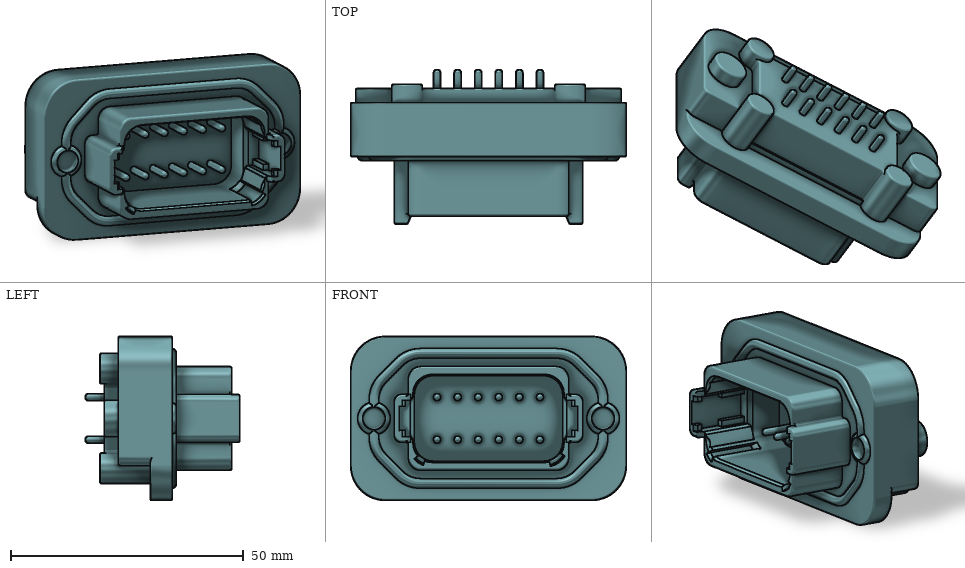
import cadquery as cq
import math


PLATE_WIDTH = 59.2
PLATE_HEIGHT = 35.25
PLATE_CORNER_RADIUS = 7.5
FLANGE_THICKNESS = 4.7
HOUSING_FRONT = FLANGE_THICKNESS / 2
HOUSING_BACK = 11.6
HOUSING_BOTTOM = -PLATE_HEIGHT / 2 + PLATE_CORNER_RADIUS
HOUSING_BOTTOM_RADIUS = 1.9
PLATE_EDGE_FILLET = 0.4

BOSS_SPAN_X = 35.0
BOSS_SPAN_Z = 21.4
BOSS_RADIUS = 3.3
BOSS_BACK = 15.55
BOSS_BLEND_RADIUS = 1.0
REAR_PANEL_BACK = 14.65
SCREW_SPAN = 49.2
SCREW_BOSS_RADIUS = 3.95
REAR_EDGE_FILLET = 0.45

GASKET_HALF_WIDTH = 28.2
GASKET_HALF_HEIGHT = 16.25
GASKET_CORNER_CUT = 10.0
GASKET_THICKNESS = 1.0
BEAD_RADIUS = 1.07
BEAD_HEIGHT = 0.89
BEAD_HALF_HEIGHT = 13.96
BEAD_BEND_RADIUS = 6.4
BEAD_BEND_START = 4.0
SCREW_RECESS_RADIUS = 2.42
SCREW_RECESS_FILLET = 0.48
SCREW_RECESS_FLOOR = 0.75
SCREW_RING_RADIUS = 2.45

SHROUD_WIDTH = 34.4
SHROUD_HEIGHT = 22.3
SHROUD_CORNER_RADIUS = 2.65
SHROUD_FRONT = -12.8
SHROUD_RIM_FILLET = 0.5
CAVITY_WIDTH = 31.8
CAVITY_HEIGHT = 18.3
CAVITY_CORNER_RADIUS = 3.95
CAVITY_FLOOR = 6.0
LEAD_IN_LENGTH = 0.9
LEAD_IN_FLARE = 0.33

KEY_DEPTH = 1.0
KEY_MIDDLE_ANGLE = 54.0
LEFT_KEY_SWEEP = 25.0
RIGHT_KEY_SWEEP = 42.0
KEY_RAMP_DEEP_END = -0.4
KEY_RAMP_LENGTH = 1.2

EAR_OUTER_X = 20.27
EAR_HEIGHT = 10.34
EAR_CORNER_RADIUS = 1.65
EAR_FRONT = -14.51
EAR_EDGE_FILLET = 0.5
EAR_BLEND_RADIUS = 0.45
EAR_SLOPE_BASE_X = 16.65
EAR_SLOPE_TIP_X = 17.4
EAR_POCKET_OUTER_X = 19.18
EAR_POCKET_HALF_HEIGHT = 3.92
EAR_POCKET_FLOOR = -1.75
EAR_POCKET_LIP_RADIUS = 0.86
EAR_FLARE_MIDDLE = (16.3, 4.5)
EAR_FLARE_END = (15.5, 7.2)
RIB_INNER_X = 17.84
RIB_INNER_Z = 2.58
RIB_FRONT = -7.6
NUB_BACK = -12.8
NUB_RAMP_START = -13.76
NUB_TIP_X = 18.5

PINS_PER_ROW = 6
PIN_PITCH = 4.42
PIN_ROW_SPACING = 9.12
PIN_RADIUS = 0.78
PIN_FRONT = -1.5
PIN_BACK = 18.7
PIN_TIP_FILLET = 0.74
SEAL_RADIUS = 1.93
SEAL_DEPTH = 1.0

SIDES = (-1, 1)

BOSS_CENTERS = [(i * BOSS_SPAN_X / 2, k * BOSS_SPAN_Z / 2) for i in SIDES for k in SIDES]
SCREW_CENTERS_X = [side * SCREW_SPAN / 2 for side in SIDES]
BEAD_CENTER_Y = BEAD_RADIUS - BEAD_HEIGHT
LEAD_IN_ANGLE = math.degrees(math.atan2(LEAD_IN_FLARE, LEAD_IN_LENGTH))
EAR_ROOT_X = CAVITY_WIDTH / 2


def outline_plane(y):
    """Workplane at depth y whose local axes are X and Z and whose normal is -Y."""
    return cq.Workplane("XZ", origin=(0, y, 0))


def rounded_block(width, height, radius, front, back):
    block = outline_plane(back).rect(width, height).extrude(back - front)
    return block.edges("|Y").fillet(radius)


def cylinder(x, z, radius, front, back):
    return outline_plane(back).center(x, z).circle(radius).extrude(back - front)


def box(x0, x1, y0, y1, z0, z1):
    return cq.Workplane("XY").box(x1 - x0, y1 - y0, z1 - z0, centered=False).translate((x0, y0, z0))


def mirrored_pair(shape):
    """The shape and its mirror image across the YZ plane."""
    return shape.union(shape.mirror("YZ"))


def make_flange():
    flange = rounded_block(PLATE_WIDTH, PLATE_HEIGHT, PLATE_CORNER_RADIUS, 0, FLANGE_THICKNESS)
    return flange.faces("<Y or >Y").edges().fillet(PLATE_EDGE_FILLET)


def make_housing():
    """Thick upper part of the plate, stopping short of the flange's lower rounded corners."""
    housing = rounded_block(PLATE_WIDTH, PLATE_HEIGHT, PLATE_CORNER_RADIUS, HOUSING_FRONT, HOUSING_BACK)
    housing = housing.cut(
        box(-PLATE_WIDTH, PLATE_WIDTH, HOUSING_FRONT, HOUSING_BACK, -PLATE_HEIGHT, HOUSING_BOTTOM)
    )
    housing = housing.faces("<Z").edges("|Y").fillet(HOUSING_BOTTOM_RADIUS)
    return housing.faces(">Y").edges().fillet(PLATE_EDGE_FILLET)


def make_rear_panel():
    panel = outline_plane(REAR_PANEL_BACK).rect(BOSS_SPAN_X, BOSS_SPAN_Z).extrude(REAR_PANEL_BACK)
    for x, z in BOSS_CENTERS:
        panel = panel.union(cylinder(x, z, BOSS_RADIUS, 0, REAR_PANEL_BACK))
    panel = panel.edges("|Y").fillet(BOSS_BLEND_RADIUS)
    return panel.faces(">Y").edges().fillet(REAR_EDGE_FILLET)


def make_rear_bosses():
    bosses = cq.Workplane("XY")
    for x, z in BOSS_CENTERS:
        boss = cylinder(x, z, BOSS_RADIUS, 0, BOSS_BACK)
        bosses = bosses.add(boss.faces(">Y").edges().fillet(REAR_EDGE_FILLET))
    for x in SCREW_CENTERS_X:
        boss = cylinder(x, 0, SCREW_BOSS_RADIUS, 0, REAR_PANEL_BACK)
        bosses = bosses.add(boss.faces(">Y").edges().fillet(REAR_EDGE_FILLET))
    return bosses.combine()


def make_right_ear():
    ear = (
        cq.Workplane("XY")
        .polyline(
            [
                (EAR_ROOT_X, 0),
                (EAR_OUTER_X, 0),
                (EAR_OUTER_X, EAR_FRONT),
                (EAR_SLOPE_TIP_X, EAR_FRONT),
                (EAR_SLOPE_BASE_X, SHROUD_FRONT),
                (EAR_ROOT_X, SHROUD_FRONT),
            ]
        )
        .close()
        .extrude(EAR_HEIGHT / 2, both=True)
    )
    ear = ear.edges("|Y and >X").fillet(EAR_CORNER_RADIUS)
    return ear.faces("<Y").edges().fillet(EAR_EDGE_FILLET)


def make_right_ear_blends():
    """Concave fillets along the two inside corners between the ear and the shroud wall."""
    wall_x = SHROUD_WIDTH / 2
    ear_z = EAR_HEIGHT / 2
    r = EAR_BLEND_RADIUS
    blends = cq.Workplane("XY")
    for side in SIDES:
        blend = box(wall_x - r, wall_x + r, SHROUD_FRONT + SHROUD_RIM_FILLET, 0, -r, r)
        blend = blend.translate((0, 0, side * ear_z))
        scoop = cylinder(wall_x + r, side * (ear_z + r), r, SHROUD_FRONT, 0)
        blends = blends.add(blend.cut(scoop))
    return blends.combine()


def make_shroud_body():
    shroud = rounded_block(SHROUD_WIDTH, SHROUD_HEIGHT, SHROUD_CORNER_RADIUS, SHROUD_FRONT, CAVITY_FLOOR)
    shroud = shroud.faces("<Y").edges().fillet(SHROUD_RIM_FILLET)
    ears = mirrored_pair(make_right_ear().union(make_right_ear_blends()))
    return shroud.union(ears)


def make_cavity():
    cavity = rounded_block(CAVITY_WIDTH, CAVITY_HEIGHT, CAVITY_CORNER_RADIUS, SHROUD_FRONT, CAVITY_FLOOR)
    mouth = (
        outline_plane(SHROUD_FRONT + LEAD_IN_LENGTH)
        .sketch()
        .rect(CAVITY_WIDTH, CAVITY_HEIGHT)
        .vertices()
        .fillet(CAVITY_CORNER_RADIUS)
        .finalize()
        .extrude(LEAD_IN_LENGTH, taper=-LEAD_IN_ANGLE)
    )
    return cavity.union(mouth)


def make_right_key_groove(sweep_angle):
    """Groove concentric with the lower right cavity corner, ending in a ramp."""
    start = math.radians(KEY_MIDDLE_ANGLE - sweep_angle / 2)
    corner_x = CAVITY_WIDTH / 2 - CAVITY_CORNER_RADIUS
    corner_z = -CAVITY_HEIGHT / 2 + CAVITY_CORNER_RADIUS
    start_plane = cq.Plane(
        origin=(corner_x, 0, corner_z),
        xDir=(math.cos(start), 0, -math.sin(start)),
        normal=(math.sin(start), 0, math.cos(start)),
    )
    groove_radius = CAVITY_CORNER_RADIUS + KEY_DEPTH
    profile = [
        (0, SHROUD_FRONT),
        (groove_radius + LEAD_IN_FLARE, SHROUD_FRONT),
        (groove_radius, SHROUD_FRONT + LEAD_IN_LENGTH),
        (groove_radius, KEY_RAMP_DEEP_END - KEY_RAMP_LENGTH),
        (CAVITY_CORNER_RADIUS, KEY_RAMP_DEEP_END),
        (0, KEY_RAMP_DEEP_END),
    ]
    return cq.Workplane(start_plane).polyline(profile).close().revolve(sweep_angle, (0, 0), (0, 1))


def make_right_ear_pocket():
    """Pocket in the ear, flared towards the cavity and open at the front, less its ribs and nubs."""
    lip = EAR_POCKET_LIP_RADIUS
    wall_x = CAVITY_WIDTH / 2
    pocket = (
        cq.Workplane("XY")
        .moveTo(0, EAR_FRONT)
        .lineTo(EAR_POCKET_OUTER_X, EAR_FRONT)
        .lineTo(EAR_POCKET_OUTER_X, EAR_POCKET_FLOOR)
        .lineTo(wall_x + lip, EAR_POCKET_FLOOR)
        .radiusArc((wall_x, EAR_POCKET_FLOOR + lip), -lip)
        .lineTo(0, EAR_POCKET_FLOOR + lip)
        .close()
        .extrude(EAR_FLARE_END[1], both=True)
    )
    upper_outline = [
        (0, EAR_FLARE_END[1]),
        EAR_FLARE_END,
        EAR_FLARE_MIDDLE,
        (wall_x + lip, EAR_POCKET_HALF_HEIGHT),
        (EAR_POCKET_OUTER_X, EAR_POCKET_HALF_HEIGHT),
    ]
    lower_outline = [(x, -z) for x, z in reversed(upper_outline)]
    flare = outline_plane(0).polyline(upper_outline + lower_outline).close().extrude(-EAR_FRONT)
    pocket = pocket.intersect(flare)
    rib_height = EAR_POCKET_HALF_HEIGHT - RIB_INNER_Z
    upper_rib = box(
        RIB_INNER_X, EAR_POCKET_OUTER_X, RIB_FRONT, EAR_POCKET_FLOOR, RIB_INNER_Z, EAR_POCKET_HALF_HEIGHT
    )
    upper_nub = (
        cq.Workplane("XY", origin=(0, 0, RIB_INNER_Z))
        .polyline(
            [
                (RIB_INNER_X, NUB_BACK),
                (EAR_POCKET_OUTER_X, NUB_BACK),
                (EAR_POCKET_OUTER_X, EAR_FRONT),
                (NUB_TIP_X, EAR_FRONT),
                (RIB_INNER_X, NUB_RAMP_START),
            ]
        )
        .close()
        .extrude(rib_height)
    )
    for upper in (upper_rib, upper_nub):
        pocket = pocket.cut(upper).cut(upper.mirror("XY"))
    return pocket


def make_gasket_slab():
    octagon = outline_plane(GASKET_THICKNESS).rect(2 * GASKET_HALF_WIDTH, 2 * GASKET_HALF_HEIGHT)
    return octagon.extrude(GASKET_THICKNESS).edges("|Y").chamfer(GASKET_CORNER_CUT)


def make_bead():
    """Round bead in a loop through both screw recesses, with a ring around each recess."""
    r = BEAD_BEND_RADIUS
    bend = r * (1 - math.sqrt(0.5))
    run = r * math.sqrt(0.5)
    side_x = SCREW_SPAN / 2
    slant_height = BEAD_HALF_HEIGHT - bend - (BEAD_BEND_START + run)
    upper_bend_x = side_x - bend - slant_height
    path = (
        outline_plane(BEAD_CENTER_Y)
        .moveTo(-side_x, 0)
        .lineTo(-side_x, BEAD_BEND_START)
        .radiusArc((-side_x + bend, BEAD_BEND_START + run), r)
        .lineTo(-upper_bend_x, BEAD_HALF_HEIGHT - bend)
        .radiusArc((-upper_bend_x + run, BEAD_HALF_HEIGHT), r)
        .lineTo(0, BEAD_HALF_HEIGHT)
    )
    quarter = cq.Workplane("XY", origin=(-side_x, BEAD_CENTER_Y, 0)).circle(BEAD_RADIUS).sweep(path)
    half = quarter.union(quarter.mirror("XY"))
    bead = mirrored_pair(half)
    for x in SCREW_CENTERS_X:
        ring = cq.Solid.makeTorus(
            SCREW_RING_RADIUS, BEAD_RADIUS, cq.Vector(x, BEAD_CENTER_Y, 0), cq.Vector(0, 1, 0)
        )
        bead = bead.union(cq.Workplane(ring))
    return bead


def make_screw_recess(x):
    """Blind round-bottomed recess inside a bead ring."""
    recess = cylinder(x, 0, SCREW_RECESS_RADIUS, EAR_FRONT, SCREW_RECESS_FLOOR)
    return recess.faces(">Y").edges().fillet(SCREW_RECESS_FILLET)


def make_pin(x, z):
    pin = cylinder(x, z, PIN_RADIUS, PIN_FRONT, PIN_BACK)
    return pin.faces("<Y or >Y").edges().fillet(PIN_TIP_FILLET)


def make_connector_body():
    shroud = make_shroud_body()
    gasket = make_gasket_slab().cut(shroud).union(make_bead())
    body = make_flange().union(make_housing()).union(make_rear_panel()).union(make_rear_bosses())
    body = body.union(shroud)
    body = body.cut(make_cavity())
    body = body.cut(make_right_key_groove(RIGHT_KEY_SWEEP))
    body = body.cut(make_right_key_groove(LEFT_KEY_SWEEP).mirror("YZ"))
    body = body.cut(mirrored_pair(make_right_ear_pocket()))
    body = body.cut(gasket).union(gasket, clean=False)
    for x in SCREW_CENTERS_X:
        body = body.cut(make_screw_recess(x), clean=False)
    return body


def add_contacts(body):
    for column in range(PINS_PER_ROW):
        x = (column - (PINS_PER_ROW - 1) / 2) * PIN_PITCH
        for side in SIDES:
            z = side * PIN_ROW_SPACING / 2
            seal = cylinder(x, z, SEAL_RADIUS, CAVITY_FLOOR, CAVITY_FLOOR + SEAL_DEPTH)
            body = body.cut(seal, clean=False).union(seal, clean=False)
            body = body.union(make_pin(x, z), clean=False)
    return body


result = add_contacts(make_connector_body())